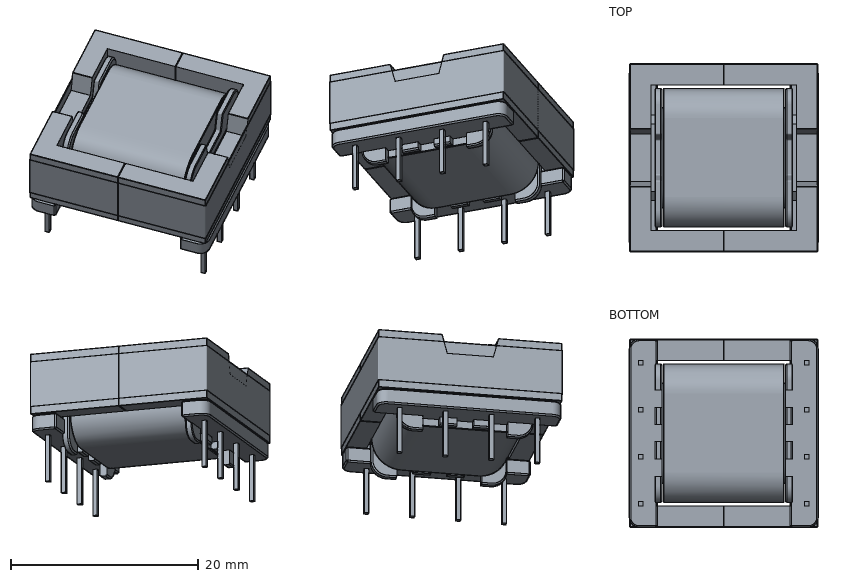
import cadquery as cq
import math


core_width = 20.0
core_height = 6.63
core_edge_chamfer = 0.05
window_width = 15.51
wall_width = (core_width - window_width) / 2
seam_width = 0.08
seam_depth = 0.06

core_notch_floor_z = 4.48
notch_slope = math.tan(math.radians(15))
core_notch_half_width = 3.1

tape_thickness = 0.1
tape_standout = 0.05
tape_bottom_z = 0.83
tape_top_z = 5.78
tape_corner_radius = 0.1
tape_width = core_width + 2 * tape_standout
tape_inner_width = tape_width - 2 * tape_thickness

tube_bottom_z = -0.57
tube_width = 10.7
tube_height = 4.8
tube_radius = 1.82
tube_center_z = tube_bottom_z + tube_height / 2

winding_center_z = 2.1
winding_length = 12.93
winding_width = 14.83
winding_height = 9.53
winding_radius = 3.2
winding_edge_chamfer = 0.08

leg_width = 9.17
leg_height = 3.6
leg_bevel = 0.97

flange_outer_x = 7.35
flange_thickness = 0.77
flange_width = winding_width
flange_top_z = 6.97
flange_bottom_z = -3.43
flange_radius = 1.72
flange_outer_chamfer_width = 0.08
flange_outer_chamfer_depth = 0.16
flange_inner_chamfer = 0.16
flange_notch_fillet = 0.18
flange_notch_half_width = 2.46
flange_notch_floor_z = 4.85
foot_inner_y = 4.65
tab_inner_y = 0.9
tab_outer_y = 2.77
tab_bottom_z = -2.67
tab_chamfer = 0.16

bar_outer_x = 10.1
bar_inner_x = 7.1
bar_length = 20.1
bar_top_z = -0.08
bar_bottom_z = -1.84
bar_corner_radius = 1.05
bar_edge_chamfer = 0.16
bar_width = bar_outer_x - bar_inner_x
bar_center_x = (bar_outer_x + bar_inner_x) / 2

overall_height = 13.9
pin_size = 0.48
pin_bottom_z = flange_top_z - overall_height
pin_pitch = 5.0
pins_per_bar = 4
pin_x = 8.89

SIDES = (-1, 1)


def box_between(x_size, y_size, bottom_z, top_z):
    """Box centred on X and Y between two heights."""
    return cq.Workplane("XY").workplane(offset=bottom_z).rect(x_size, y_size).extrude(top_z - bottom_z)


def lead_notch(top_half_width, top_z, floor_z, length):
    """Trapezoidal prism along X that narrows from the top down to the notch floor."""
    floor_half_width = top_half_width - (top_z - floor_z) * notch_slope
    outline = [
        (-top_half_width, top_z),
        (-floor_half_width, floor_z),
        (floor_half_width, floor_z),
        (top_half_width, top_z),
    ]
    return cq.Workplane("YZ").polyline(outline).close().extrude(length / 2, both=True)


def center_leg():
    """Eight-sided centre leg joining the two X walls."""
    half_width = leg_width / 2
    half_height = leg_height / 2
    flat_y = half_width - leg_bevel
    flat_z = half_height - leg_bevel
    outline = [
        (half_width, -flat_z),
        (half_width, flat_z),
        (flat_y, half_height),
        (-flat_y, half_height),
        (-half_width, flat_z),
        (-half_width, -flat_z),
        (-flat_y, -half_height),
        (flat_y, -half_height),
    ]
    leg = cq.Workplane("YZ").polyline(outline).close().extrude(core_width / 2 - wall_width / 2, both=True)
    return leg.translate((0, 0, tube_center_z))


def seam_groove(side):
    """Shallow groove around one Y limb where the two core halves meet."""
    limb = box_between(seam_width, wall_width, 0, core_height)
    middle = box_between(seam_width, wall_width - 2 * seam_depth, seam_depth, core_height - seam_depth)
    return limb.cut(middle).translate((0, side * (core_width - wall_width) / 2, 0))


def tape():
    """Thin band around the outside of the core."""
    outer = box_between(tape_width, tape_width, tape_bottom_z, tape_top_z)
    outer = outer.edges("|Z").fillet(tape_corner_radius)
    return outer.cut(box_between(tape_inner_width, tape_inner_width, tape_bottom_z, tape_top_z))


def build_core():
    """Frame, centre leg and tape as one body."""
    core = box_between(core_width, core_width, 0, core_height)
    core = core.edges("|Z").chamfer(core_edge_chamfer)
    core = core.cut(lead_notch(core_notch_half_width, core_height, core_notch_floor_z, core_width))
    core = core.faces("<Z or >Z").chamfer(core_edge_chamfer)
    core = core.cut(box_between(window_width, window_width, 0, core_height))
    for side in SIDES:
        core = core.cut(seam_groove(side))
    return core.union(center_leg()).union(tape())


def tube():
    """Coil former tube that ends inside the flanges."""
    half_length = flange_outer_x - flange_thickness / 2
    body = cq.Workplane("YZ").rect(tube_width, tube_height).extrude(half_length, both=True)
    return body.edges("|X").fillet(tube_radius).translate((0, 0, tube_center_z))


def winding():
    """Solid coil wound on the tube."""
    body = cq.Workplane("YZ").rect(winding_width, winding_height).extrude(winding_length / 2, both=True)
    body = body.edges("|X").fillet(winding_radius)
    body = body.faces("<X or >X").chamfer(winding_edge_chamfer)
    return body.translate((0, 0, winding_center_z))


def flange():
    """Flange on the +X end, with a lead notch on top, and feet and tabs below."""
    height = flange_top_z - flange_bottom_z
    plate = cq.Workplane("XY").box(flange_thickness, flange_width, height)
    plate = plate.edges("|X").fillet(flange_radius)
    plate = plate.translate((0, 0, (flange_top_z + flange_bottom_z) / 2))
    notch = lead_notch(flange_notch_half_width, flange_top_z, flange_notch_floor_z, flange_thickness)
    plate = plate.cut(notch)
    reach = flange_notch_half_width + flange_notch_fillet
    notch_corners = cq.selectors.BoxSelector(
        (-flange_thickness, -reach, flange_notch_floor_z - flange_notch_fillet),
        (flange_thickness, reach, flange_top_z + flange_notch_fillet),
    )
    plate = plate.edges("|X").edges(notch_corners).fillet(flange_notch_fillet)
    plate = plate.faces(">X").chamfer(flange_outer_chamfer_width, flange_outer_chamfer_depth)
    plate = plate.faces("<X").chamfer(flange_inner_chamfer)
    plate = plate.cut(box_between(flange_thickness, 2 * foot_inner_y, flange_bottom_z, bar_bottom_z))
    for side in SIDES:
        tab = box_between(flange_thickness, tab_outer_y - tab_inner_y, tab_bottom_z, bar_bottom_z)
        tab = tab.edges("<Z and |Y").chamfer(tab_chamfer)
        plate = plate.union(tab.translate((0, side * (tab_outer_y + tab_inner_y) / 2, 0)))
    return plate.translate((flange_outer_x - flange_thickness / 2, 0, 0))


def pin_bar():
    """Bar under the +X wall of the core, with its row of square pins."""
    bar = box_between(bar_width, bar_length, bar_bottom_z, bar_top_z)
    bar = bar.edges("|Z and >X").fillet(bar_corner_radius)
    bar = bar.edges("|Z and <X").chamfer(bar_edge_chamfer)
    bar = bar.faces("<Z or >Z").chamfer(bar_edge_chamfer)
    bar = bar.translate((bar_center_x, 0, 0))
    pin_height = bar_bottom_z - pin_bottom_z
    pins = (
        cq.Workplane("XY")
        .workplane(offset=pin_bottom_z)
        .center(pin_x, 0)
        .rarray(0.2, pin_pitch, 1, pins_per_bar)
        .rect(pin_size, pin_size)
        .extrude(pin_height)
    )
    return bar.union(pins)


def build_bobbin():
    """Tube, winding, flanges, pin bars and pins as one body, hollow for the centre leg."""
    bobbin = tube().union(winding())
    end = flange().union(pin_bar())
    bobbin = bobbin.union(end).union(end.mirror("YZ"))
    return bobbin.cut(center_leg())


core = build_core()
bobbin = build_bobbin()

result = cq.Compound.makeCompound([core.val(), bobbin.val()])